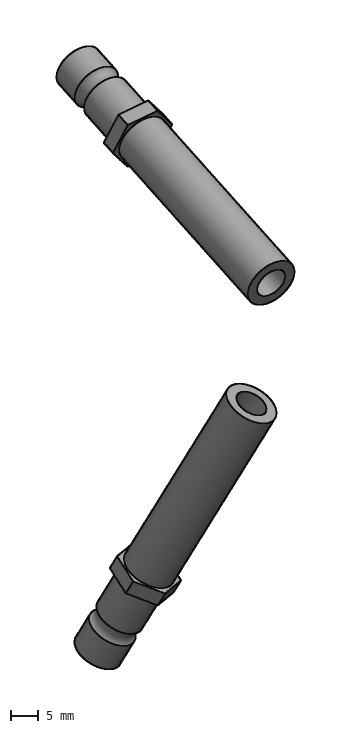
import cadquery as cq
import math

total_length = 63.0
bore_diameter = 6.0
plug_diameter = 9.3
tube_diameter = 10.0

groove_start = 6.0
groove_width = 3.0
groove_floor_diameter = 8.0

hex_start = 18.0
hex_width = 3.0
hex_across_flats = 11.0

plug_radius = plug_diameter / 2
groove_floor_radius = groove_floor_diameter / 2
groove_middle = groove_start + groove_width / 2
groove_end = groove_start + groove_width
hex_end = hex_start + hex_width
hex_across_corners = hex_across_flats / math.cos(math.pi / 6)


def make_plug():
    """Turned plug with a round-bottomed locking groove, ending at the hexagon."""
    profile = (
        cq.Workplane("XY")
        .moveTo(0, 0)
        .lineTo(0, plug_radius)
        .lineTo(groove_start, plug_radius)
        .threePointArc((groove_middle, groove_floor_radius), (groove_end, plug_radius))
        .lineTo(hex_start, plug_radius)
        .lineTo(hex_start, 0)
        .close()
    )
    return profile.revolve(360, (0, 0, 0), (1, 0, 0))


def make_hexagon():
    """Spanner hexagon with flats at top and bottom and corners along Y."""
    return (
        cq.Workplane("YZ", origin=(hex_start, 0, 0))
        .polygon(6, hex_across_corners)
        .extrude(hex_width)
    )


def make_tube():
    """Plain cylinder from the hexagon to the far end."""
    return (
        cq.Workplane("YZ", origin=(hex_end, 0, 0))
        .circle(tube_diameter / 2)
        .extrude(total_length - hex_end)
    )


def make_bore():
    """Through bore along the whole length."""
    return cq.Workplane("YZ").circle(bore_diameter / 2).extrude(total_length)


result = make_plug().union(make_hexagon()).union(make_tube()).cut(make_bore())